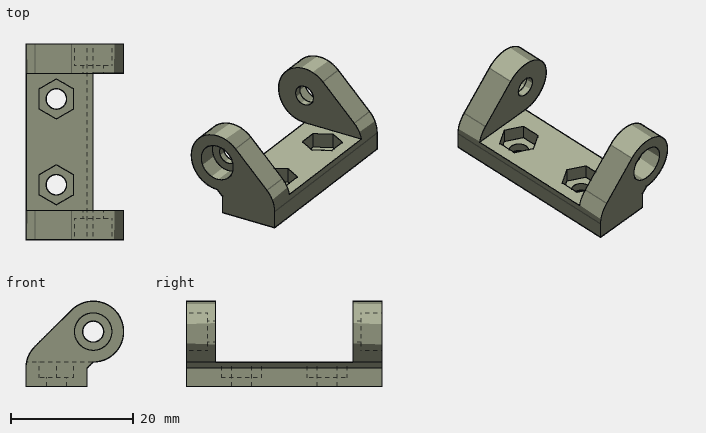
import cadquery as cq
import math

length = 32.0
lug_thickness = 4.8
base_width = 10.0
base_height = 4.0

round_radius = 5.0
corner_x = round_radius
corner_z = 3.0
eye_x = 11.0
eye_z = base_height + round_radius

pivot_diameter = 3.4
counterbore_diameter = 6.1
counterbore_depth = 3.5

mount_spacing = 14.0
mount_diameter = 3.3
nut_across_flats = 5.65
nut_depth = 2.5


def make_profile_body():
    """Full-length extrusion of the lug outline, centred along Y."""
    diagonal = math.atan2(eye_z - corner_z, eye_x - corner_x) + math.pi / 2
    offset_x = round_radius * math.cos(diagonal)
    offset_z = round_radius * math.sin(diagonal)
    middle = (math.pi + diagonal) / 2
    return (
        cq.Workplane("XZ", origin=(0, length / 2, 0))
        .moveTo(0, 0)
        .lineTo(0, corner_z)
        .threePointArc(
            (corner_x + round_radius * math.cos(middle), corner_z + round_radius * math.sin(middle)),
            (corner_x + offset_x, corner_z + offset_z),
        )
        .lineTo(eye_x + offset_x, eye_z + offset_z)
        .threePointArc((eye_x + round_radius, eye_z), (eye_x, base_height))
        .lineTo(base_width, corner_z)
        .lineTo(base_width, 0)
        .close()
        .extrude(length)
    )


def make_lug_gap():
    """Block removed above the base, leaving a lug at each end."""
    gap_length = length - 2 * lug_thickness
    gap_width = eye_x + round_radius
    gap_height = eye_z + round_radius - base_height
    return (
        cq.Workplane("XY", origin=(0, 0, base_height))
        .rect(2 * gap_width, gap_length)
        .extrude(gap_height)
    )


def make_pivot_cutter():
    """Bore through both lugs, counterbored from each outer face."""
    bore = (
        cq.Workplane("XZ", origin=(eye_x, length / 2, eye_z))
        .circle(pivot_diameter / 2)
        .extrude(length)
    )
    for outer_y in (length / 2, counterbore_depth - length / 2):
        counterbore = (
            cq.Workplane("XZ", origin=(eye_x, outer_y, eye_z))
            .circle(counterbore_diameter / 2)
            .extrude(counterbore_depth)
        )
        bore = bore.union(counterbore)
    return bore


def make_mount_cutter(y):
    """Screw hole through the base with a hexagonal nut pocket on top."""
    across_corners = nut_across_flats / math.cos(math.pi / 6)
    hole = cq.Workplane("XY", origin=(corner_x, y, 0)).circle(mount_diameter / 2).extrude(base_height)
    pocket = (
        cq.Workplane("XY", origin=(corner_x, y, base_height - nut_depth))
        .transformed(rotate=(0, 0, 90))
        .polygon(6, across_corners)
        .extrude(nut_depth)
    )
    return hole.union(pocket)


result = make_profile_body().cut(make_lug_gap()).cut(make_pivot_cutter())
for mount_y in (-mount_spacing / 2, mount_spacing / 2):
    result = result.cut(make_mount_cutter(mount_y))